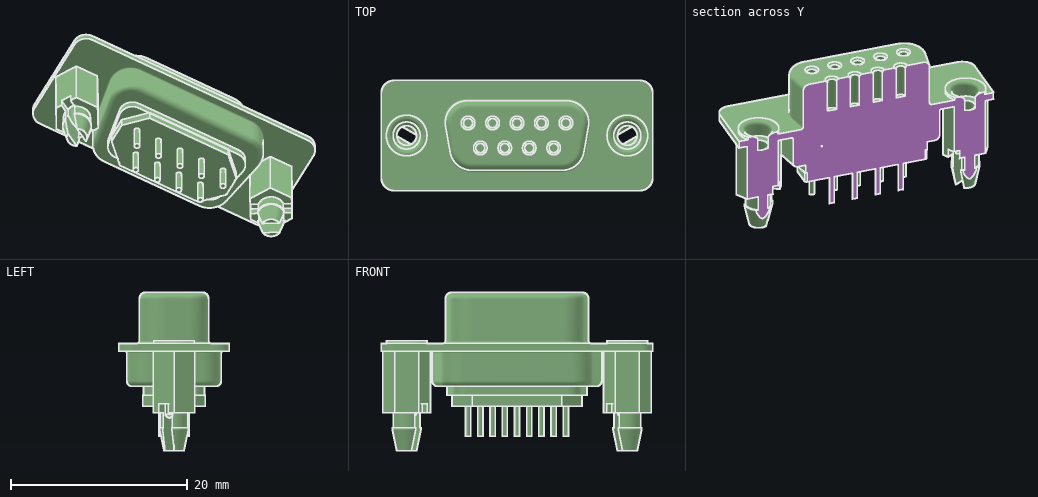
import cadquery as cq
import math


TOTAL_HEIGHT = 18.0

PLATE_LENGTH = 30.8
PLATE_WIDTH = 12.55
PLATE_THICKNESS = 0.92
PLATE_CORNER_RADIUS = 1.5

D_SIDE_ANGLE = math.radians(10)
SOCKET_HALF_LENGTH = 8.13
SOCKET_HALF_WIDTH = 3.95
SHELL_CORNER_RADIUS = 2.5
SOCKET_TOP = 6.72
SOCKET_RIM_FILLET = 0.77
SOCKET_FOOT_FILLET = 0.25
REAR_HALF_LENGTH = 9.6
REAR_HALF_WIDTH = 5.35
REAR_BOTTOM = -3.97
REAR_RIM_FILLET = 0.62
REAR_FOOT_FILLET = 0.15
INSULATOR_HALF_LENGTH = 7.95
INSULATOR_HALF_WIDTH = 3.48
INSULATOR_CORNER_RADIUS = 1.55
INSULATOR_BOTTOM = -5.0

BLOCK_LENGTH = 14.8
BLOCK_WIDTH = 7.1
BLOCK_CHAMFER = 2.35
BLOCK_BOTTOM = -6.22

CONTACT_PITCH = 2.77
ROW_OFFSET = 1.42
LONG_ROW_COUNT = 5
SHORT_ROW_COUNT = LONG_ROW_COUNT - 1
CONTACT_HOLE_RADIUS = 0.52
CONTACT_HOLE_DEPTH = 4.0
CONTACT_MOUTH_RADIUS = 0.77
PIN_RADIUS = 0.3
PIN_BOTTOM = -9.65

POST_OFFSET = 12.5
RIVET_RADIUS = 2.3
RIVET_TOP = 1.23
HEX_CORNER_DIAMETER = 5.45
HEX_BOTTOM = -6.95
NECK_RADIUS = 1.55
BULGE_RADIUS = 1.63
BULGE_TOP = -8.63
BULGE_BOTTOM = -8.9
TIP_RADIUS = 1.15
TIP_BOTTOM = SOCKET_TOP - TOTAL_HEIGHT

BORE_RADIUS = 1.55
BORE_MOUTH_FILLET = 0.52
BORE_SHOULDER = -0.68
PILOT_RADIUS = 1.1
PILOT_SHOULDER = -7.15
DRILL_CONE_SLOPE = 0.8

SLOT_WIDTH = 1.2
SLOT_TOP = -5.95
SLOT_ANGLE = 30


def d_body(half_length, half_width, corner_radius, z_start, z_end):
    """D-shaped prism, wider at +Y, whose rounded wide corners reach half_length."""
    arc_x = half_length - corner_radius
    arc_y = half_width - corner_radius

    def side_x(y):
        return arc_x + (corner_radius + (y - arc_y) * math.sin(D_SIDE_ANGLE)) / math.cos(D_SIDE_ANGLE)

    wide = side_x(half_width)
    narrow = side_x(-half_width)
    outline = [(-wide, half_width), (wide, half_width), (narrow, -half_width), (-narrow, -half_width)]
    prism = cq.Workplane("XY").workplane(offset=z_start).polyline(outline).close()
    return prism.extrude(z_end - z_start).edges("|Z").fillet(corner_radius)


def contact_points():
    points = []
    for count, y in ((LONG_ROW_COUNT, ROW_OFFSET), (SHORT_ROW_COUNT, -ROW_OFFSET)):
        first_x = -(count - 1) * CONTACT_PITCH / 2
        points += [(first_x + i * CONTACT_PITCH, y) for i in range(count)]
    return points


def cylinder(radius, z_start, z_end):
    return cq.Workplane("XY").workplane(offset=z_start).circle(radius).extrude(z_end - z_start)


def shell_and_plate():
    plate = cq.Workplane("XY").rect(PLATE_LENGTH, PLATE_WIDTH).extrude(PLATE_THICKNESS)
    plate = plate.edges("|Z").fillet(PLATE_CORNER_RADIUS)
    socket = d_body(SOCKET_HALF_LENGTH, SOCKET_HALF_WIDTH, SHELL_CORNER_RADIUS, PLATE_THICKNESS, SOCKET_TOP)
    socket = socket.faces(">Z").edges().fillet(SOCKET_RIM_FILLET)
    rear = d_body(REAR_HALF_LENGTH, REAR_HALF_WIDTH, SHELL_CORNER_RADIUS, REAR_BOTTOM, 0)
    rear = rear.faces("<Z").edges().fillet(REAR_RIM_FILLET)
    body = plate.union(socket).union(rear)

    margin = 0.3
    level_tolerance = 0.03
    for half_length, half_width, z, radius in (
        (SOCKET_HALF_LENGTH, SOCKET_HALF_WIDTH, PLATE_THICKNESS, SOCKET_FOOT_FILLET),
        (REAR_HALF_LENGTH, REAR_HALF_WIDTH, 0, REAR_FOOT_FILLET),
    ):
        corner_x = half_length + margin
        corner_y = half_width + margin
        root = cq.selectors.BoxSelector(
            (-corner_x, -corner_y, z - level_tolerance),
            (corner_x, corner_y, z + level_tolerance),
            boundingbox=True,
        )
        body = body.edges(root).fillet(radius)
    return body


def insulator_and_pins():
    insulator = d_body(
        INSULATOR_HALF_LENGTH, INSULATOR_HALF_WIDTH, INSULATOR_CORNER_RADIUS, INSULATOR_BOTTOM, REAR_BOTTOM
    )
    block = (
        cq.Workplane("XY")
        .workplane(offset=BLOCK_BOTTOM)
        .rect(BLOCK_LENGTH, BLOCK_WIDTH)
        .extrude(INSULATOR_BOTTOM - BLOCK_BOTTOM)
        .edges("|Z")
        .chamfer(BLOCK_CHAMFER)
    )
    pins = (
        cq.Workplane("XY")
        .workplane(offset=PIN_BOTTOM)
        .pushPoints(contact_points())
        .circle(PIN_RADIUS)
        .extrude(BLOCK_BOTTOM - PIN_BOTTOM)
    )
    return insulator.union(block).union(pins)


def contact_holes():
    mouth_depth = CONTACT_MOUTH_RADIUS - CONTACT_HOLE_RADIUS
    profile = [
        (0, SOCKET_TOP),
        (CONTACT_MOUTH_RADIUS, SOCKET_TOP),
        (CONTACT_HOLE_RADIUS, SOCKET_TOP - mouth_depth),
        (CONTACT_HOLE_RADIUS, SOCKET_TOP - CONTACT_HOLE_DEPTH),
        (0, SOCKET_TOP - CONTACT_HOLE_DEPTH),
    ]
    hole = cq.Workplane("XZ").polyline(profile).close().revolve(360, (0, 0, 0), (0, 1, 0)).val()
    return cq.Workplane("XY").pushPoints(contact_points()).eachpoint(lambda place: hole.moved(place))


def post():
    """Solid post on the Z axis: rivet head, hexagon and tapered snap-in tip."""
    head = cylinder(RIVET_RADIUS, 0, RIVET_TOP)
    hexagon = cq.Workplane("XY").polygon(6, HEX_CORNER_DIAMETER).extrude(HEX_BOTTOM)
    tip_profile = [
        (0, HEX_BOTTOM),
        (NECK_RADIUS, HEX_BOTTOM),
        (NECK_RADIUS, BULGE_TOP),
        (BULGE_RADIUS, BULGE_TOP),
        (BULGE_RADIUS, BULGE_BOTTOM),
        (TIP_RADIUS, TIP_BOTTOM),
        (0, TIP_BOTTOM),
    ]
    tip = cq.Workplane("XZ").polyline(tip_profile).close().revolve(360, (0, 0, 0), (0, 1, 0))
    return head.union(hexagon).union(tip)


def post_cut():
    """Stepped bore and prong slot of the post at -X, on the Z axis."""
    mouth_radius = BORE_RADIUS + BORE_MOUTH_FILLET
    arc_reach = BORE_MOUTH_FILLET * (1 - math.sqrt(0.5))
    bore = (
        cq.Workplane("XZ")
        .moveTo(0, RIVET_TOP)
        .lineTo(mouth_radius, RIVET_TOP)
        .threePointArc(
            (BORE_RADIUS + arc_reach, RIVET_TOP - arc_reach),
            (BORE_RADIUS, RIVET_TOP - BORE_MOUTH_FILLET),
        )
        .lineTo(BORE_RADIUS, BORE_SHOULDER)
        .lineTo(PILOT_RADIUS, BORE_SHOULDER - (BORE_RADIUS - PILOT_RADIUS) * DRILL_CONE_SLOPE)
        .lineTo(PILOT_RADIUS, PILOT_SHOULDER)
        .lineTo(0, PILOT_SHOULDER - PILOT_RADIUS * DRILL_CONE_SLOPE)
        .close()
        .revolve(360, (0, 0, 0), (0, 1, 0))
    )
    slot = (
        cq.Workplane("XY")
        .workplane(offset=TIP_BOTTOM)
        .rect(2 * HEX_CORNER_DIAMETER, SLOT_WIDTH)
        .extrude(SLOT_TOP - TIP_BOTTOM)
        .rotate((0, 0, 0), (0, 0, 1), -SLOT_ANGLE)
    )
    return bore.union(slot.intersect(cylinder(HEX_CORNER_DIAMETER / 2, TIP_BOTTOM, SLOT_TOP)))


result = shell_and_plate().union(insulator_and_pins()).cut(contact_holes())
left_post = post().translate((-POST_OFFSET, 0, 0))
left_cut = post_cut().translate((-POST_OFFSET, 0, 0))
result = result.union(left_post).union(left_post.mirror("YZ"))
result = result.cut(left_cut).cut(left_cut.mirror("YZ"))